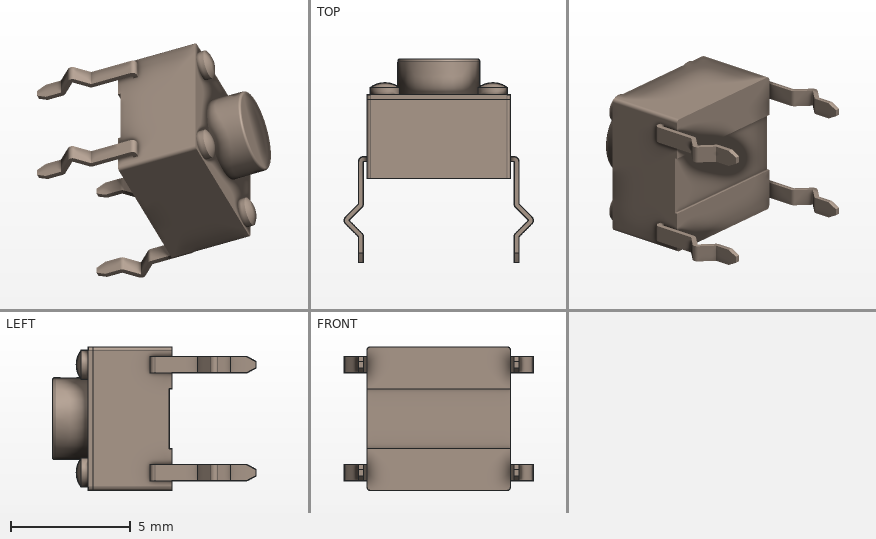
import cadquery as cq
import math


BODY_SIDE = 6.0
BODY_HEIGHT = 3.5
COVER_THICKNESS = 0.2
CORNER_RADIUS = 0.15
GROOVE_WIDTH = 2.5
GROOVE_DEPTH = 0.12

BUTTON_DIAMETER = 3.45
BUTTON_HEIGHT = 1.5
BUTTON_EDGE_RADIUS = 0.1
BUTTON_DRAFT = 0.5

CORNER_OFFSET = 2.25

RIVET_DIAMETER = 1.215
RIVET_RIM_HEIGHT = 0.3
RIVET_DOME_HEIGHT = 0.2

PIN_SPREAD = 7.9
PIN_SPACING = 6.49
STRIP_THICKNESS = 0.2
STRIP_WIDTH = 0.69
PIN_TOP_Y = 0.92
KINK_Y = -1.74
PIN_TIP_Y = BODY_HEIGHT + BUTTON_HEIGHT - 8.5
TIP_LENGTH = 0.39
TIP_WIDTH = 0.27

HOUSING_HEIGHT = BODY_HEIGHT - COVER_THICKNESS


def square_block(bottom_y, height):
    """Square block with rounded corner edges, standing along Y."""
    return (
        cq.Workplane("XZ", origin=(0, bottom_y, 0))
        .rect(BODY_SIDE, BODY_SIDE)
        .extrude(-height)
        .edges("|Y")
        .fillet(CORNER_RADIUS)
    )


def make_housing():
    """Square housing with a shallow groove across its underside, along X."""
    groove = cq.Workplane("XY").box(BODY_SIDE, 2 * GROOVE_DEPTH, GROOVE_WIDTH)
    return square_block(0, HOUSING_HEIGHT).cut(groove)


def make_button():
    """Slightly tapered round button with a rounded upper rim."""
    return (
        cq.Workplane("XZ", origin=(0, BODY_HEIGHT, 0))
        .circle(BUTTON_DIAMETER / 2)
        .extrude(-BUTTON_HEIGHT, taper=BUTTON_DRAFT)
        .faces(">Y")
        .edges()
        .fillet(BUTTON_EDGE_RADIUS)
    )


def make_rivet_head():
    """Short cylinder with a spherical dome, centred on the Y axis."""
    radius = RIVET_DIAMETER / 2
    top = RIVET_RIM_HEIGHT + RIVET_DOME_HEIGHT
    sphere_radius = (radius**2 + RIVET_DOME_HEIGHT**2) / (2 * RIVET_DOME_HEIGHT)
    half_angle = math.asin(radius / sphere_radius) / 2
    dome_middle = (
        sphere_radius * math.sin(half_angle),
        top - sphere_radius * (1 - math.cos(half_angle)),
    )
    return (
        cq.Workplane("XY")
        .lineTo(radius, 0)
        .lineTo(radius, RIVET_RIM_HEIGHT)
        .threePointArc(dome_middle, (0, top))
        .close()
        .revolve(360, (0, 0), (0, 1))
    )


def make_cover():
    """Cover plate carrying the button and a rivet head near each corner."""
    cover = square_block(HOUSING_HEIGHT, COVER_THICKNESS).union(make_button())
    rivet_head = make_rivet_head()
    for x in (-CORNER_OFFSET, CORNER_OFFSET):
        for z in (-CORNER_OFFSET, CORNER_OFFSET):
            cover = cover.union(rivet_head.translate((x, BODY_HEIGHT, z)))
    return cover


def make_pin():
    """Pin on the +X side, centred on Z = 0.

    The strip leaves the housing wall, turns down, and has a 45 degree kink outwards.
    Every bend is sharp on its inner side and has the strip thickness as its outer radius.
    """
    t = STRIP_THICKNESS
    diagonal = t * math.sqrt(0.5)
    wall_x = BODY_SIDE / 2
    inner_x = (PIN_SPACING - t) / 2
    outer_x = inner_x + t
    kink_x = PIN_SPREAD / 2 - t
    shoulder_y = PIN_TOP_Y - t
    kink_half_height = kink_x - outer_x + 2 * diagonal
    upper_y = KINK_Y + kink_half_height
    lower_y = KINK_Y - kink_half_height

    strip = (
        cq.Workplane("XY")
        .moveTo(wall_x, PIN_TOP_Y)
        .lineTo(inner_x, PIN_TOP_Y)
        .radiusArc((outer_x, shoulder_y), t)
        .lineTo(outer_x, upper_y)
        .lineTo(kink_x + diagonal, KINK_Y + diagonal)
        .radiusArc((kink_x + diagonal, KINK_Y - diagonal), t)
        .lineTo(outer_x, lower_y)
        .lineTo(outer_x, PIN_TIP_Y)
        .lineTo(inner_x, PIN_TIP_Y)
        .lineTo(inner_x, lower_y)
        .radiusArc((outer_x - diagonal, lower_y + diagonal), t)
        .lineTo(kink_x, KINK_Y)
        .lineTo(outer_x - diagonal, upper_y - diagonal)
        .radiusArc((inner_x, upper_y), t)
        .lineTo(inner_x, shoulder_y)
        .lineTo(wall_x, shoulder_y)
        .close()
        .extrude(STRIP_WIDTH / 2, both=True)
    )
    tapered_face = (
        cq.Workplane("YZ")
        .polyline(
            [
                (PIN_TOP_Y, STRIP_WIDTH / 2),
                (PIN_TIP_Y + TIP_LENGTH, STRIP_WIDTH / 2),
                (PIN_TIP_Y, TIP_WIDTH / 2),
                (PIN_TIP_Y, -TIP_WIDTH / 2),
                (PIN_TIP_Y + TIP_LENGTH, -STRIP_WIDTH / 2),
                (PIN_TOP_Y, -STRIP_WIDTH / 2),
            ]
        )
        .close()
        .extrude(PIN_SPREAD)
    )
    return strip.intersect(tapered_face)


housing = make_housing()
cover = make_cover()

right_pin = make_pin()
left_pin = right_pin.mirror("YZ")
pins = []
for pin in (left_pin, right_pin):
    for z in (-CORNER_OFFSET, CORNER_OFFSET):
        pins.append(pin.translate((0, 0, z)).solids().val())

result = cq.Compound.makeCompound([housing.solids().val(), cover.solids().val(), *pins])